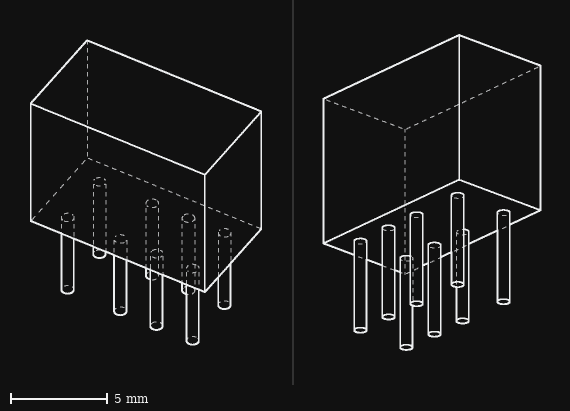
import cadquery as cq

housing_length = 10.6
housing_width = 5.7
overall_height = 13.4
pin_length = 5.1
housing_height = overall_height - pin_length

pin_diameter = 0.65
pin_pitch = 2.2
row_spacing = 3.2
first_gap = 3.2
row_length = first_gap + 2 * pin_pitch

first_pin_x = -row_length / 2
second_pin_x = first_pin_x + first_gap
pin_xs = [first_pin_x, second_pin_x, second_pin_x + pin_pitch, second_pin_x + 2 * pin_pitch]
row_ys = [-row_spacing / 2, row_spacing / 2]


def make_housing():
    """Block with its underside at Z = 0, centred on the Z axis."""
    return cq.Workplane("XY").box(
        housing_length, housing_width, housing_height, centered=(True, True, False)
    )


def make_pin(x, y):
    """Round pin hanging down from the underside of the housing."""
    return cq.Workplane("XY").center(x, y).circle(pin_diameter / 2).extrude(-pin_length)


housing = make_housing()

pins = []
for row_y in row_ys:
    for pin_x in pin_xs:
        pins.append(make_pin(pin_x, row_y).val())

result = cq.Compound.makeCompound([housing.val(), *pins])